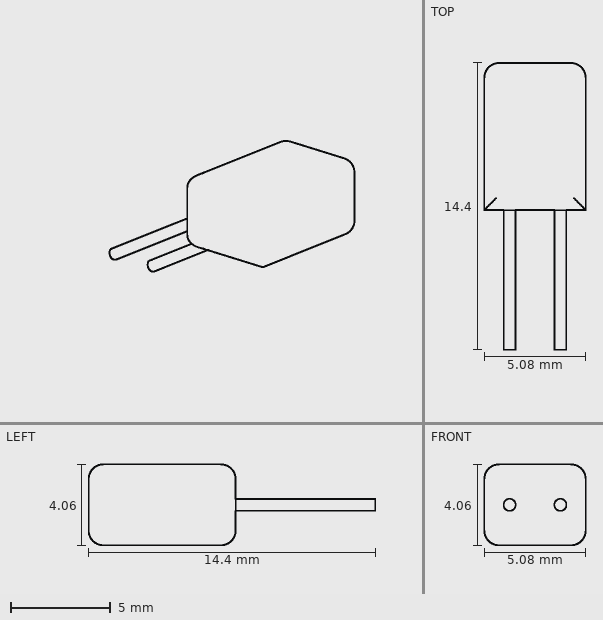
import cadquery as cq

overall_length = 14.36

case_width = 5.08
case_length = 7.37
case_height = 4.06
edge_radius = 0.75

lead_diameter = 0.6
lead_pitch = 2.54
lead_length = overall_length - case_length

lead_face_y = 0.0


def make_case():
    """Block with every edge rounded except the two upright corners of the lead face."""
    block = cq.Workplane("XY").box(case_width, case_length, case_height).translate(
        (0, lead_face_y + case_length / 2, 0)
    )
    rear_corners = block.faces(">Y").edges("|Z")
    rounded_edges = block.edges("not |Z").add(rear_corners)
    return rounded_edges.fillet(edge_radius)


def make_lead(x):
    """Straight round wire that starts on the lead face and runs toward -Y."""
    return (
        cq.Workplane("XZ", origin=(x, lead_face_y, 0))
        .circle(lead_diameter / 2)
        .extrude(lead_length)
    )


case = make_case()
leads = [make_lead(side * lead_pitch / 2) for side in (-1, 1)]

result = cq.Compound.makeCompound([case.val(), *[lead.val() for lead in leads]])